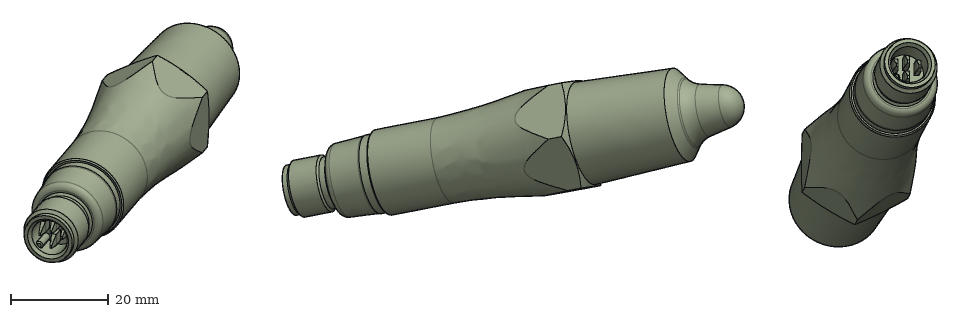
import cadquery as cq
import math

LENGTH = 99.7

TIP_RADIUS = 4.6
NOSE_ANGLE = math.radians(12)
NOSE_CONE_END = 91.4
FLARE_END = 88.5
FLARE_END_RADIUS = 7.1
FLARE_LIP = 0.3
SHOULDER_Y = 86.2
SHOULDER_RADIUS = 9.8

HEX_WIDTH = 22.0
HEX_FRONT = 65.0
BARREL_RADIUS = 10.8
CROWN_Y = 63.5
CROWN_RADIUS = 13.6
WAIST_POINTS = [(12.1, 58.6), (11.1, 54.0), (10.3, 49.1), (9.7, 44.2)]

SLEEVE_RADIUS = 18.0 / 2
SLEEVE_FRONT = 34.2
SLEEVE_REAR = 20.0
SLEEVE_CHAMFER = 0.3
COLLAR_RADIUS = 16.6 / 2
COLLAR_STEP_Y = 18.2
COLLAR_STEP = 0.1
COLLAR_STEP_LENGTH = 0.3
COLLAR_END_RADIUS = 7.8
COLLAR_REAR = 10.0
COLLAR_ROUND = 1.4

PLUG_RADIUS = 12.0 / 2
NECK_RADIUS = 11.0 / 2
SPIGOT_RADIUS = 10.6 / 2
NECK_FRONT = 9.5
NECK_REAR = 8.2
PLUG_FRONT = 7.8
PLUG_REAR = 1.7
SPIGOT_FRONT = 1.1
SOCKET_RADIUS = 3.9
SOCKET_MOUTH_RADIUS = 4.5
SOCKET_MOUTH_DEPTH = 0.8
SOCKET_DEPTH = 6.0

PIN_WIDTH = 1.0
PIN_HEIGHT = 2.5
PIN_TIP_WIDTH = 0.4
PIN_TIP_HEIGHT = 0.6
PIN_TIP_DROP = 0.8
PIN_TIP_Y = 1.5
PIN_BEVEL_Y = 3.5
PIN_CENTERS = [(-2.4, 0.8), (2.4, 0.8), (0, 1.7), (0, -1.7)]
KEY_RADIUS = 0.8
KEY_OFFSET = 3.7
KEY_ANGLE = 225
KEY_FRONT = 1.5
KEY_CHAMFER = 0.3


def turned_body():
    """Revolve the outer outline, drawn as (radius, Y), from the tip back to the plug face."""
    ball_center = LENGTH - TIP_RADIUS
    ball_end = (TIP_RADIUS * math.cos(NOSE_ANGLE), ball_center + TIP_RADIUS * math.sin(NOSE_ANGLE))
    middle_angle = (NOSE_ANGLE + math.pi / 2) / 2
    ball_middle = (TIP_RADIUS * math.cos(middle_angle), ball_center + TIP_RADIUS * math.sin(middle_angle))
    nose_cone_radius = ball_end[0] + (ball_end[1] - NOSE_CONE_END) * math.tan(NOSE_ANGLE)
    outline = (
        cq.Workplane("XY")
        .moveTo(0, LENGTH)
        .threePointArc(ball_middle, ball_end)
        .lineTo(nose_cone_radius, NOSE_CONE_END)
        .tangentArcPoint((FLARE_END_RADIUS, FLARE_END), relative=False)
        .lineTo(FLARE_END_RADIUS + FLARE_LIP, FLARE_END - FLARE_LIP)
        .lineTo(SHOULDER_RADIUS, SHOULDER_Y)
        .lineTo(BARREL_RADIUS, HEX_FRONT)
        .lineTo(CROWN_RADIUS, CROWN_Y)
        .spline(WAIST_POINTS + [(SLEEVE_RADIUS, SLEEVE_FRONT)], includeCurrent=True)
        .lineTo(SLEEVE_RADIUS, SLEEVE_REAR + SLEEVE_CHAMFER)
        .lineTo(SLEEVE_RADIUS - SLEEVE_CHAMFER, SLEEVE_REAR)
        .lineTo(COLLAR_RADIUS, SLEEVE_REAR)
        .lineTo(COLLAR_RADIUS, COLLAR_STEP_Y)
        .lineTo(COLLAR_RADIUS - COLLAR_STEP, COLLAR_STEP_Y - COLLAR_STEP_LENGTH)
        .lineTo(COLLAR_END_RADIUS, COLLAR_REAR + COLLAR_ROUND)
        .tangentArcPoint((COLLAR_END_RADIUS - COLLAR_ROUND, COLLAR_REAR), relative=False)
        .lineTo(PLUG_RADIUS, COLLAR_REAR)
        .lineTo(NECK_RADIUS, NECK_FRONT)
        .lineTo(NECK_RADIUS, NECK_REAR)
        .lineTo(PLUG_RADIUS, PLUG_FRONT)
        .lineTo(PLUG_RADIUS, PLUG_REAR)
        .lineTo(SPIGOT_RADIUS, SPIGOT_FRONT)
        .lineTo(SPIGOT_RADIUS, 0)
        .lineTo(0, 0)
        .close()
    )
    return outline.revolve(360, (0, 0), (0, 1))


def hex_prism():
    """Hexagonal bar along Y with corners at +Z and -Z; it trims the crown into six flats."""
    corner_radius = HEX_WIDTH / math.sqrt(3)
    corners = []
    for i in range(6):
        angle = math.radians(90 + 60 * i)
        corners.append((corner_radius * math.cos(angle), corner_radius * math.sin(angle)))
    return cq.Workplane("XZ").polyline(corners).close().extrude(-LENGTH)


def socket():
    """Blind bore in the plug face with a tapered mouth."""
    return (
        cq.Workplane("XY")
        .moveTo(0, 0)
        .lineTo(SOCKET_MOUTH_RADIUS, 0)
        .lineTo(SOCKET_RADIUS, SOCKET_MOUTH_DEPTH)
        .lineTo(SOCKET_RADIUS, SOCKET_DEPTH)
        .lineTo(0, SOCKET_DEPTH)
        .close()
        .revolve(360, (0, 0), (0, 1))
    )


def pin(x, z):
    """Flat contact blade standing on the socket floor, bevelled to a small tip near its lower edge."""
    blade = (
        cq.Workplane("XZ", origin=(x, PIN_BEVEL_Y, z))
        .rect(PIN_WIDTH, PIN_HEIGHT)
        .extrude(PIN_BEVEL_Y - SOCKET_DEPTH)
    )
    tip = (
        cq.Workplane("XZ", origin=(x, PIN_BEVEL_Y, z))
        .rect(PIN_WIDTH, PIN_HEIGHT)
        .workplane(offset=PIN_BEVEL_Y - PIN_TIP_Y)
        .center(0, -PIN_TIP_DROP)
        .rect(PIN_TIP_WIDTH, PIN_TIP_HEIGHT)
        .loft(ruled=True)
    )
    return blade.union(tip)


def key():
    """Round rib along the socket wall that sets the plug's angular position."""
    angle = math.radians(KEY_ANGLE)
    center = (KEY_OFFSET * math.cos(angle), KEY_FRONT, KEY_OFFSET * math.sin(angle))
    rib = cq.Workplane("XZ", origin=center).circle(KEY_RADIUS).extrude(KEY_FRONT - SOCKET_DEPTH)
    return rib.faces("<Y").chamfer(KEY_CHAMFER)


result = turned_body().intersect(hex_prism()).cut(socket())
for pin_x, pin_z in PIN_CENTERS:
    result = result.union(pin(pin_x, pin_z))
result = result.union(key())